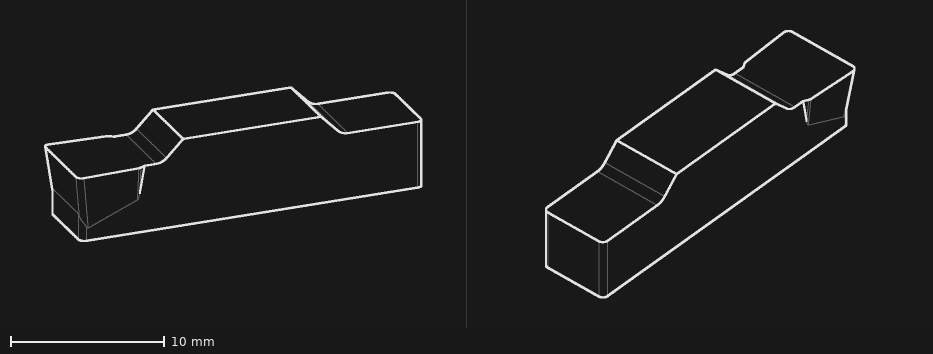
import cadquery as cq
import math


total_length = 24.5
ridge_height = 6.15
rake_height = 4.68
shank_width = 5.25
corner_radius = 0.4

ridge_front = 7.57
ridge_rear = 17.3
ramp_angle = 45.0
ramp_fillet = 1.03

cutting_width = 6.05
head_length = 4.85
neck_start = 4.43
side_taper = 2.4
side_relief = 5.8
front_relief = 7.0
front_land_height = 1.84
neck_radius = 0.37


def tan_deg(angle):
    return math.tan(math.radians(angle))


ramp_run = (ridge_height - rake_height) / tan_deg(ramp_angle)
shank_front = (rake_height - front_land_height) * tan_deg(front_relief)


def make_shank():
    """Shank with the ridge along its top and rounded vertical corners."""
    front_foot = ridge_front - ramp_run
    rear_foot = ridge_rear + ramp_run
    profile = [
        (shank_front, 0),
        (total_length, 0),
        (total_length, rake_height),
        (rear_foot, rake_height),
        (ridge_rear, ridge_height),
        (ridge_front, ridge_height),
        (front_foot, rake_height),
        (shank_front, rake_height),
    ]
    shank = cq.Workplane("YZ").polyline(profile).close().extrude(shank_width / 2, both=True)
    shank = shank.edges("|Z").fillet(corner_radius)
    for foot in (front_foot, rear_foot):
        foot_edge = cq.selectors.NearestToPointSelector((0, foot, rake_height))
        shank = shank.edges(foot_edge).fillet(ramp_fillet)
    return shank


def head_outline(height):
    """Closed outline of the head at a height; both sides and the front draw in below the rake face."""
    depth = rake_height - height
    side_lean = depth * tan_deg(side_relief)
    front = depth * tan_deg(front_relief)

    def side_at(y):
        return cutting_width / 2 - (y - corner_radius) * tan_deg(side_taper) - side_lean

    neck_half_width = side_at(neck_start)
    end_half_width = shank_width / 2 - side_lean
    half = [
        (side_at(front), front),
        (neck_half_width, neck_start),
        (end_half_width, head_length),
    ]
    mirrored = [(-x, y) for x, y in reversed(half)]
    face = cq.Sketch().polygon(half + mirrored + half[:1])
    face = face.vertices("<Y").fillet(corner_radius).reset()
    shoulders = cq.selectors.BoxSelector(
        (-cutting_width, neck_start - neck_radius / 2, -0.25),
        (cutting_width, neck_start + neck_radius / 2, 0.25),
    )
    return face.vertices(shoulders).fillet(neck_radius).reset()


def make_head():
    """Head narrowing evenly from the rake face down to the underside, where it is inside the shank."""
    upper = head_outline(rake_height).moved(cq.Location(cq.Vector(0, 0, rake_height)))
    return cq.Workplane("XY").placeSketch(head_outline(0), upper).loft(ruled=True)


result = make_shank().union(make_head())